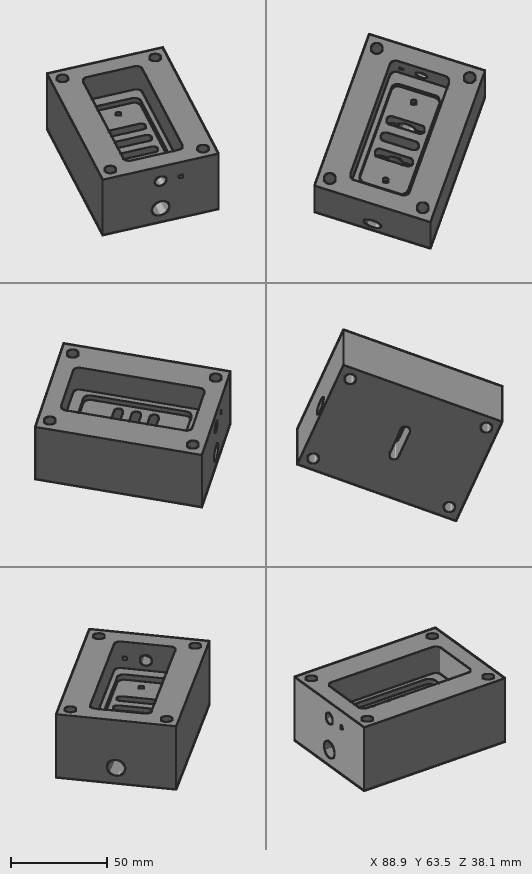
import cadquery as cq
import math

LENGTH = 88.9
WIDTH = 63.5
HEIGHT = 38.1

BOLT_DIAMETER = 6.0
BOLT_INSET = 6.35

CAVITY_LENGTH = 69.85
CAVITY_WIDTH = 32.3
CAVITY_DEPTH = 15.875
CAVITY_RADIUS = 3.175
CAVITY_FLOOR_Z = HEIGHT - CAVITY_DEPTH

POCKET_LENGTH = 57.6
POCKET_WIDTH = 26.4
POCKET_DEPTH = 3.175
POCKET_RADIUS = 3.57
POCKET_FLOOR_Z = CAVITY_FLOOR_Z - POCKET_DEPTH

MOUTH_DIAMETER = 9.525
BORE_DIAMETER = 9.1
MOUTH_TAPER = 1 / 16
BORE_AXIS_Z = 9.525
BORE_END_X = 7.56
DRILL_POINT_ANGLE = 118.0

SLOT_LENGTH = 20.6
SIDE_SLOT_WIDTH = 4.7625
MIDDLE_SLOT_WIDTH = 4.95
SLOT_PITCH = 9.525
SIDE_SLOT_FLOOR_Z = BORE_AXIS_Z

PORT_DIAMETER = 2.85
PORT_X = 22.86

WALL_HOLE_Z = HEIGHT - 9.9
WALL_HOLE_DIAMETER = 6.35
WALL_PINHOLE_DIAMETER = 2.2
WALL_PINHOLE_Y = 11.1


def rounded_pocket(length, width, radius, floor_z, top_z):
    """Rectangular cutter with rounded vertical corners."""
    depth = top_z - floor_z
    box = cq.Workplane("XY", origin=(0, 0, floor_z)).box(length, width, depth, centered=(True, True, False))
    return box.edges("|Z").fillet(radius)


def slot(x, width, floor_z):
    """Round-ended cutter running along Y, from floor_z up to the pocket floor."""
    plane = cq.Workplane("XY", origin=(x, 0, floor_z))
    return plane.slot2D(SLOT_LENGTH, width, 90).extrude(POCKET_FLOOR_Z - floor_z)


def end_bore(side):
    """Blind bore with a tapered mouth and conical tip, drilled in from the end face at side = -1 or +1."""
    end_x = LENGTH / 2
    mouth_radius = MOUTH_DIAMETER / 2
    mouth_depth = (MOUTH_DIAMETER - BORE_DIAMETER) / MOUTH_TAPER
    radius = BORE_DIAMETER / 2
    tip_length = radius / math.tan(math.radians(DRILL_POINT_ANGLE / 2))
    half_profile = (
        cq.Workplane("XZ", origin=(0, 0, BORE_AXIS_Z))
        .moveTo(side * end_x, 0)
        .lineTo(side * end_x, -mouth_radius)
        .lineTo(side * (end_x - mouth_depth), -radius)
        .lineTo(side * BORE_END_X, -radius)
        .lineTo(side * (BORE_END_X - tip_length), 0)
        .close()
    )
    return half_profile.revolve(360, (0, 0, 0), (1, 0, 0))


def port(x):
    """Vertical hole from the pocket floor down to the bore axis."""
    plane = cq.Workplane("XY", origin=(x, 0, BORE_AXIS_Z))
    return plane.circle(PORT_DIAMETER / 2).extrude(POCKET_FLOOR_Z - BORE_AXIS_Z)


def wall_hole(y, diameter):
    """Hole along X through the +X wall of the cavity, started at mid-cavity."""
    plane = cq.Workplane("YZ", origin=(0, y, WALL_HOLE_Z))
    return plane.circle(diameter / 2).extrude(LENGTH / 2)


body = cq.Workplane("XY").box(LENGTH, WIDTH, HEIGHT, centered=(True, True, False))

bolt_holes = (
    cq.Workplane("XY")
    .rect(LENGTH - 2 * BOLT_INSET, WIDTH - 2 * BOLT_INSET, forConstruction=True)
    .vertices()
    .circle(BOLT_DIAMETER / 2)
    .extrude(HEIGHT)
)
body = body.cut(bolt_holes)

body = body.cut(rounded_pocket(CAVITY_LENGTH, CAVITY_WIDTH, CAVITY_RADIUS, CAVITY_FLOOR_Z, HEIGHT))
body = body.cut(rounded_pocket(POCKET_LENGTH, POCKET_WIDTH, POCKET_RADIUS, POCKET_FLOOR_Z, CAVITY_FLOOR_Z))

body = body.cut(slot(0, MIDDLE_SLOT_WIDTH, 0))
for side in (-1, 1):
    body = body.cut(slot(side * SLOT_PITCH, SIDE_SLOT_WIDTH, SIDE_SLOT_FLOOR_Z))
    body = body.cut(end_bore(side))
    body = body.cut(port(side * PORT_X))

body = body.cut(wall_hole(0, WALL_HOLE_DIAMETER))
body = body.cut(wall_hole(WALL_PINHOLE_Y, WALL_PINHOLE_DIAMETER))

result = body